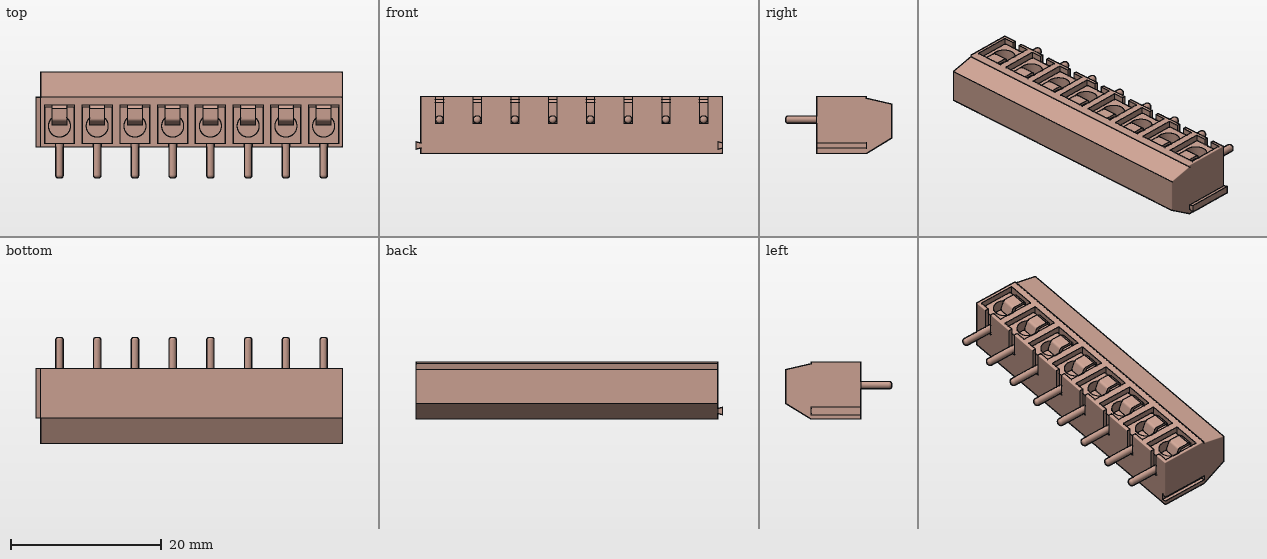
import cadquery as cq

POLES = 8
TOTAL_LENGTH = 40.6
RAIL_PROJECTION = 0.6
HOUSING_LENGTH = TOTAL_LENGTH - RAIL_PROJECTION
PITCH = HOUSING_LENGTH / POLES
DEPTH = 10.0
HEIGHT = 7.6
EDGE_RADIUS = 0.1

FLAT_DEPTH = 6.6
STEP_HEIGHT = 0.25
BACK_TOP = 6.58
BACK_BOTTOM = 2.07

RAIL_TOP = 1.6
RAIL_BOTTOM = 0.55
DOVETAIL_TAPER = 0.15

CELL_WIDTH = 4.0
FRONT_WALL = 0.5
CELL_BACK = 5.6
CELL_BOTTOM = 3.98
SLOT_WIDTH = 1.1

CLAMP_WIDTH = 3.9
CLAMP_BACK = 5.3
CLAMP_TOP = 6.8
WELL_RADIUS = 1.45
WELL_Y = 2.8
WELL_DEPTH = 1.62

TONGUE_WIDTH = 2.0
TONGUE_TOP = 7.15
TONGUE_FLAT_BACK = 5.1
TONGUE_FRONT = 3.5
TONGUE_BEND_RADIUS = 0.4
TONGUE_TIP_Y = 2.92
TONGUE_TIP_Z = 5.7

PIN_DIAMETER = 1.0
PIN_LENGTH = 4.1
PIN_Z = 4.5
PIN_TIP_RADIUS = 0.35


def box(x_size, y_start, y_end, z_start, z_end):
    """Box centred on X = 0 between the given Y and Z limits."""
    return cq.Workplane("XY").box(
        x_size, y_end - y_start, z_end - z_start, centered=(True, False, False)
    ).translate((0, y_start, z_start))


def prism(yz_points, width):
    """Side profile extruded evenly to both sides of X = 0."""
    return cq.Workplane("YZ").polyline(yz_points).close().extrude(width / 2, both=True)


def housing():
    profile = [
        (0, 0),
        (FLAT_DEPTH, 0),
        (DEPTH, BACK_BOTTOM),
        (DEPTH, BACK_TOP),
        (FLAT_DEPTH, HEIGHT - STEP_HEIGHT),
        (FLAT_DEPTH, HEIGHT),
        (0, HEIGHT),
    ]
    body = prism(profile, HOUSING_LENGTH)
    return body.edges("<X or >X or (|X and <Y) or (|X and >Z)").fillet(EDGE_RADIUS)


def dovetail(root_x):
    """Bar reaching from root_x toward -X, widening away from its root."""
    tip_x = root_x - RAIL_PROJECTION
    return (
        cq.Workplane("XZ")
        .polyline([
            (root_x, RAIL_BOTTOM + DOVETAIL_TAPER),
            (tip_x, RAIL_BOTTOM),
            (tip_x, RAIL_TOP),
            (root_x, RAIL_TOP - DOVETAIL_TAPER),
        ])
        .close()
        .extrude(-FLAT_DEPTH)
    )


def rail_root(root_x):
    """Continues the neck of the rail into the housing, across its rounded front edge."""
    root_bottom = RAIL_BOTTOM + DOVETAIL_TAPER
    root_top = RAIL_TOP - DOVETAIL_TAPER
    root = box(EDGE_RADIUS, 0, FLAT_DEPTH, root_bottom, root_top)
    return root.translate((root_x + EDGE_RADIUS / 2, 0, 0))


def cell_cut():
    cell = box(CELL_WIDTH, FRONT_WALL, CELL_BACK, CELL_BOTTOM, HEIGHT)
    slot = box(SLOT_WIDTH, 0, FRONT_WALL, CELL_BOTTOM, HEIGHT)
    return cell.union(slot)


def clamp():
    well_bottom = CLAMP_TOP - WELL_DEPTH
    block = box(CLAMP_WIDTH, FRONT_WALL, CLAMP_BACK, CELL_BOTTOM, CLAMP_TOP)
    well = (
        cq.Workplane("XY", origin=(0, WELL_Y, well_bottom))
        .circle(WELL_RADIUS)
        .extrude(WELL_DEPTH)
    )
    tongue = prism(
        [
            (CELL_BACK, TONGUE_TIP_Z),
            (CELL_BACK, CLAMP_TOP),
            (TONGUE_FLAT_BACK, TONGUE_TOP),
            (TONGUE_FRONT, TONGUE_TOP),
            (TONGUE_TIP_Y, TONGUE_TIP_Z),
        ],
        TONGUE_WIDTH,
    )
    bend = cq.selectors.NearestToPointSelector((0, TONGUE_FRONT, TONGUE_TOP))
    return block.cut(well).union(tongue.edges(bend).fillet(TONGUE_BEND_RADIUS))


def pin():
    return (
        cq.Workplane("XZ", origin=(0, FRONT_WALL, PIN_Z))
        .circle(PIN_DIAMETER / 2)
        .extrude(FRONT_WALL + PIN_LENGTH)
        .faces("<Y")
        .edges()
        .fillet(PIN_TIP_RADIUS)
    )


half_length = HOUSING_LENGTH / 2
rail = dovetail(-half_length).union(rail_root(-half_length))
result = housing().union(rail).cut(dovetail(half_length))

for pole in range(POLES):
    pole_position = ((pole + 0.5) * PITCH - half_length, 0, 0)
    result = result.cut(cell_cut().translate(pole_position))
    result = result.union(clamp().union(pin()).translate(pole_position))